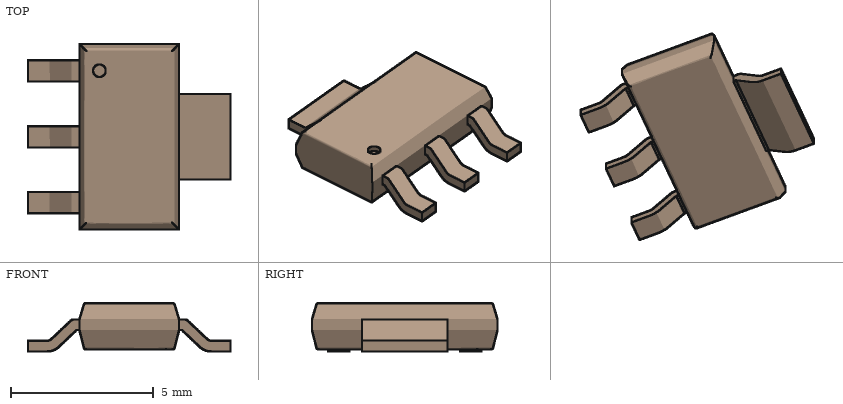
import cadquery as cq
import math

overall_length = 7.1
standoff = 0.07
plate_thickness = 0.38

housing_length = 3.49
housing_width = 6.5
housing_top = 1.7
band_bottom = 0.745
band_top = band_bottom + plate_thickness
housing_inset = 0.17
housing_fillet = 0.1

mark_diameter = 0.44
mark_depth = 0.2
mark_edge_offset = 0.7
mark_side_offset = 0.94

lead_width = 0.75
lead_pitch = 2.31
lead_count = 3
tab_width = 3.0
bend_angle = math.radians(43.5)
foot_length = 0.77
foot_inner_radius = 0.2
foot_outer_radius = foot_inner_radius + plate_thickness
shoulder_outer_radius = 0.17


def make_tapered_half(start_height, end_height):
    """Frustum from the full housing outline to the inset one."""
    return (
        cq.Workplane("XY")
        .workplane(offset=start_height)
        .rect(housing_length, housing_width)
        .workplane(offset=end_height - start_height)
        .rect(housing_length - 2 * housing_inset, housing_width - 2 * housing_inset)
        .loft(ruled=True)
    )


def make_housing():
    """Moulded housing: vertical band between two tapered halves, with a pin 1 dimple."""
    band = (
        cq.Workplane("XY")
        .workplane(offset=band_bottom)
        .rect(housing_length, housing_width)
        .extrude(plate_thickness)
    )
    upper_half = make_tapered_half(band_top, housing_top)
    lower_half = make_tapered_half(band_bottom, standoff)
    body = band.union(upper_half).union(lower_half)
    body = body.faces(">Z or <Z").edges().fillet(housing_fillet)
    mark = (
        cq.Workplane("XY")
        .workplane(offset=housing_top - mark_depth)
        .center(mark_edge_offset - housing_length / 2, housing_width / 2 - mark_side_offset)
        .circle(mark_diameter / 2)
        .extrude(mark_depth)
    )
    return body.cut(mark)


def make_bent_strip(width):
    """Gull-wing strip centred on Y = 0, running from its foot at -X up to the housing wall."""
    toe_x = -overall_length / 2
    wall_x = -housing_length / 2
    rise_run = band_bottom / math.tan(bend_angle)
    corner_shift = plate_thickness * math.tan(bend_angle / 2)
    foot_upper_x = toe_x + foot_length
    foot_lower_x = foot_upper_x + corner_shift
    shoulder_upper_x = foot_upper_x + rise_run
    shoulder_lower_x = foot_lower_x + rise_run
    strip = (
        cq.Workplane("XZ")
        .polyline([
            (toe_x, 0),
            (foot_lower_x, 0),
            (shoulder_lower_x, band_bottom),
            (wall_x, band_bottom),
            (wall_x, band_top),
            (shoulder_upper_x, band_top),
            (foot_upper_x, plate_thickness),
            (toe_x, plate_thickness),
        ])
        .close()
        .extrude(width / 2, both=True)
    )
    bends = [
        (foot_upper_x, plate_thickness, foot_inner_radius),
        (foot_lower_x, 0, foot_outer_radius),
        (shoulder_upper_x, band_top, shoulder_outer_radius),
    ]
    for x, z, radius in bends:
        strip = strip.edges(cq.NearestToPointSelector((x, 0, z))).fillet(radius)
    return strip


def make_leads():
    """Row of equal leads on the -X side, centred along Y."""
    lead = make_bent_strip(lead_width)
    leads = []
    for index in range(lead_count):
        y = (index - (lead_count - 1) / 2) * lead_pitch
        leads.append(lead.translate((0, y, 0)).val())
    return leads


def make_tab():
    """Wide tab on the +X side with the same bend as the leads."""
    return make_bent_strip(tab_width).rotate((0, 0, 0), (0, 0, 1), 180)


housing = make_housing()
leads = make_leads()
tab = make_tab()

result = cq.Compound.makeCompound([housing.val(), *leads, tab.val()])